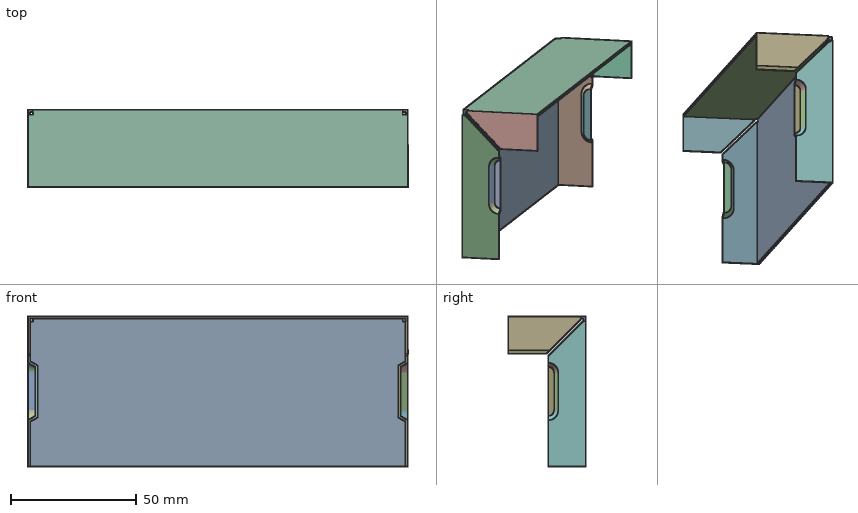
import math

import cadquery as cq

body_length = 151.9
top_depth = 31.0
back_height = 60.0
sheet = 1.0
flange_width = 15.0

miter_half_gap = 0.72
corner_relief = 2 * sheet

ridge_height = 1.5
ridge_thickness = 0.1

recess_center_z = -back_height / 2
recess_pitch = 15.0
recess_floor_radius = 2.3
recess_depth = 2.9
recess_draft = 30.0

half_length = body_length / 2


def box(x_range, y_range, z_range):
    """Axis-aligned block between the given limits."""
    size = [high - low for low, high in (x_range, y_range, z_range)]
    corner = (x_range[0], y_range[0], z_range[0])
    return cq.Workplane("XY").box(*size, centered=False).translate(corner)


def yz_prism(points, x_start, thickness):
    """Straight prism along +X with the given (Y, Z) outline."""
    return cq.Workplane("YZ", origin=(x_start, 0, 0)).polyline(points).close().extrude(thickness)


def panels():
    """Top and back panels meeting at the long corner."""
    x_range = (-half_length, half_length)
    top = box(x_range, (-top_depth, 0), (-sheet, 0))
    back = box(x_range, (-sheet, 0), (-back_height, 0))
    return top.union(back)


def top_flange(x_start, thickness, upper_z):
    """Mitered flange below the top panel, from upper_z down to its lower edge."""
    outline = [
        (upper_z - miter_half_gap, upper_z),
        (-top_depth, upper_z),
        (-top_depth, -flange_width),
        (-flange_width - miter_half_gap, -flange_width),
    ]
    return yz_prism(outline, x_start, thickness)


def back_flange(x_start):
    """Mitered flange in front of the back panel."""
    outline = [
        (0, -miter_half_gap),
        (0, -back_height),
        (-flange_width, -back_height),
        (-flange_width, -flange_width - miter_half_gap),
    ]
    return yz_prism(outline, x_start, sheet)


def tapered_slot(x_outer, x_inner, outer_radius):
    """Drafted slot along Z, centred on the flange edge, narrowing towards +X."""
    depth = x_inner - x_outer
    narrowing = depth * math.tan(math.radians(recess_draft))
    inner_radius = outer_radius - narrowing
    slot = None
    for z_offset in (-recess_pitch / 2, recess_pitch / 2):
        base = cq.Vector(x_outer, -flange_width, recess_center_z + z_offset)
        cone = cq.Workplane(cq.Solid.makeCone(outer_radius, inner_radius, depth, base, cq.Vector(1, 0, 0)))
        slot = cone if slot is None else slot.union(cone)
    wall = [
        (x_outer, -flange_width),
        (x_outer, -flange_width + outer_radius),
        (x_inner, -flange_width + inner_radius),
        (x_inner, -flange_width),
    ]
    middle = (
        cq.Workplane("XY", origin=(0, 0, recess_center_z - recess_pitch / 2))
        .polyline(wall)
        .close()
        .extrude(recess_pitch)
    )
    slot = slot.union(middle)
    behind_edge = box((x_outer, x_inner), (-flange_width, 0), (-back_height, 0))
    return slot.intersect(behind_edge)


def recessed_back_flange():
    """Back flange at the -X end with its pressed recess of even wall thickness."""
    outer_face = -half_length
    draft = math.radians(recess_draft)
    opening_radius = recess_floor_radius + recess_depth * math.tan(draft)
    wall_offset = sheet / math.cos(draft) - sheet * math.tan(draft)
    hollow = tapered_slot(outer_face, outer_face + recess_depth, opening_radius)
    shell = tapered_slot(outer_face + sheet, outer_face + sheet + recess_depth, opening_radius + wall_offset)
    return back_flange(outer_face).union(shell).cut(hollow)


def corner_cut():
    """Cubic relief where the three sheets meet at the -X end."""
    return box((-half_length, -half_length + corner_relief), (-corner_relief, 0), (-corner_relief, 0))


def end_flanges():
    """Both flanges at the -X end."""
    return top_flange(-half_length, sheet, 0).union(recessed_back_flange())


def ridge():
    """Thin ridge on the outside of the +X top flange."""
    return top_flange(half_length, ridge_thickness, ridge_height - flange_width)


flanges = end_flanges()
relief = corner_cut()
folded_cover = panels().union(flanges).union(flanges.mirror("YZ"))
folded_cover = folded_cover.cut(relief).cut(relief.mirror("YZ"))
result = folded_cover.union(ridge())